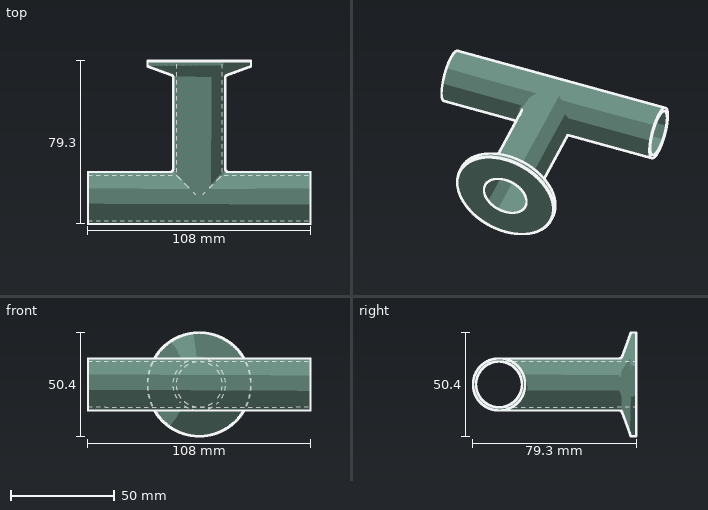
import cadquery as cq
import math

run_length = 108.0
tube_diameter = 25.4
bore_diameter = 22.1
tube_radius = tube_diameter / 2
bore_radius = bore_diameter / 2

overall_depth = 79.3
branch_end = overall_depth - tube_radius

fillet_radius = 1.5
ball_overlap = 0.002

flange_diameter = 50.4
flange_radius = flange_diameter / 2
rim_thickness = 2.8
cone_angle = 20.0
face_chamfer = 0.3
rim_round = 0.5
neck_round = 1.1
neck_overlap = 3.2


def run_rod(radius):
    """Cylinder along the run axis, as long as the run tube."""
    return cq.Workplane("YZ").circle(radius).extrude(run_length / 2, both=True)


def branch_rod(radius):
    """Cylinder along +Y from the run axis to the face of the ferrule."""
    return cq.Workplane("XZ").circle(radius).extrude(-branch_end)


def corner_fillet():
    """Fillet in the +X corner between the tubes, before mirroring.

    The ball touches each tube along a flat ellipse. Both ellipses meet at the
    top and bottom of the tubes, where the fillet fades to nothing.
    """
    ball_path_radius = tube_radius + fillet_radius
    miter_plane = cq.Plane(origin=(0, 0, 0), xDir=(1, 1, 0), normal=(1, -1, 0))

    chord_reach = (tube_radius + ball_path_radius) / math.sqrt(2)
    sector = (
        cq.Workplane("XY")
        .polyline(
            [
                (0, 0),
                (2 * ball_path_radius, 2 * tube_radius),
                (2 * tube_radius, 2 * ball_path_radius),
            ]
        )
        .close()
        .extrude(2 * tube_radius, both=True)
    )
    filler = (
        cq.Workplane(miter_plane)
        .ellipse(chord_reach, tube_radius)
        .extrude(2 * ball_path_radius, both=True)
        .intersect(sector)
    )

    ball_path = cq.Workplane(miter_plane).ellipse(math.sqrt(2) * ball_path_radius, ball_path_radius)
    ball_sweep = (
        cq.Workplane("XY", origin=(ball_path_radius, ball_path_radius, 0))
        .circle(fillet_radius + ball_overlap)
        .sweep(ball_path)
    )
    return filler.cut(ball_sweep)


def ferrule():
    """Solid clamp flange: a flat rim with a cone that blends into the tube."""
    rim_back = branch_end - rim_thickness
    cone_length = (flange_radius - tube_radius) * math.tan(math.radians(cone_angle))
    cone_end = rim_back - cone_length
    neck_end = cone_end - neck_overlap
    body = (
        cq.Workplane("XY")
        .moveTo(0, branch_end)
        .lineTo(flange_radius, branch_end)
        .lineTo(flange_radius, rim_back)
        .lineTo(tube_radius, cone_end)
        .lineTo(tube_radius, neck_end)
        .lineTo(0, neck_end)
        .close()
        .revolve(360, (0, 0, 0), (0, 1, 0))
    )
    body = body.faces("%CONE").edges("%CIRCLE").edges(">Y").fillet(rim_round)
    body = body.faces("%CONE").edges("%CIRCLE").edges("<Y").fillet(neck_round)
    return body.faces(">Y").edges().chamfer(face_chamfer)


fillet = corner_fillet()
outside = run_rod(tube_radius).union(branch_rod(tube_radius))
outside = outside.union(fillet).union(fillet.mirror("YZ"))
outside = outside.union(ferrule())
bores = run_rod(bore_radius).union(branch_rod(bore_radius))
result = outside.cut(bores).solids()